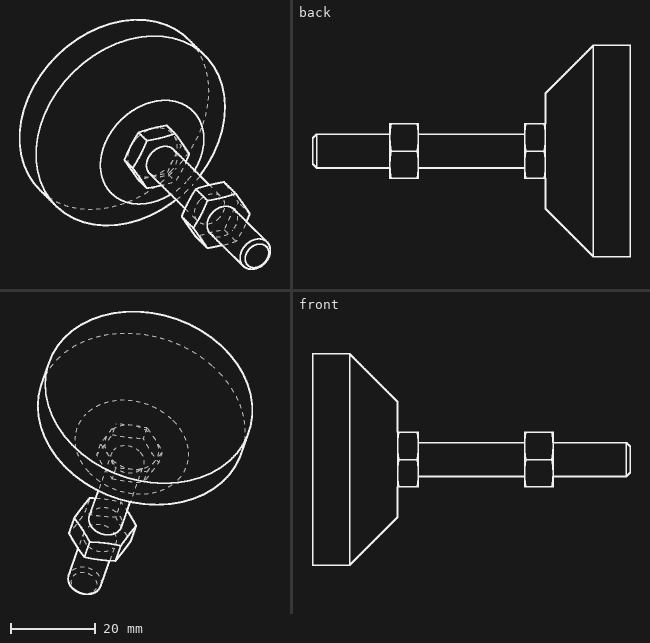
import cadquery as cq
import math

total_length = 75.0

base_diameter = 50.0
rim_thickness = 8.7
base_height = 20.0
cone_height = base_height - rim_thickness
cone_top_radius = base_diameter / 2 - cone_height

rod_diameter = 8.0
tip_chamfer = 0.9

across_flats = 13.0
across_corners = across_flats / math.cos(math.radians(30))
corner_chamfer_depth = 0.3
shank_hex_length = 4.95
nut_start = 50.0
nut_length = 6.75


def cylinder_along_x(start, length, diameter):
    return cq.Workplane("YZ", origin=(start, 0, 0)).circle(diameter / 2).extrude(length)


def chamfered_hexagon(start, length):
    """Hexagonal prism along X with its corners turned down at both ends."""
    hexagon = cq.Workplane("YZ", origin=(start, 0, 0)).polygon(6, across_corners).extrude(length)
    flat_radius = across_flats / 2
    corner_radius = across_corners / 2
    end = start + length
    turned_blank = (
        cq.Workplane("XY")
        .moveTo(start, 0)
        .lineTo(start, flat_radius)
        .lineTo(start + corner_chamfer_depth, corner_radius)
        .lineTo(end - corner_chamfer_depth, corner_radius)
        .lineTo(end, flat_radius)
        .lineTo(end, 0)
        .close()
        .revolve(360, (0, 0, 0), (1, 0, 0))
    )
    return hexagon.intersect(turned_blank)


base = (
    cq.Workplane("XY")
    .moveTo(0, 0)
    .lineTo(0, base_diameter / 2)
    .lineTo(rim_thickness, base_diameter / 2)
    .lineTo(base_height, cone_top_radius)
    .lineTo(base_height, 0)
    .close()
    .revolve(360, (0, 0, 0), (1, 0, 0))
)
rod = (
    cylinder_along_x(base_height, total_length - base_height, rod_diameter)
    .faces(">X")
    .chamfer(tip_chamfer)
)
shank_hex = chamfered_hexagon(base_height, shank_hex_length)
lock_nut = chamfered_hexagon(nut_start, nut_length)

result = base.union(rod).union(shank_hex).union(lock_nut)